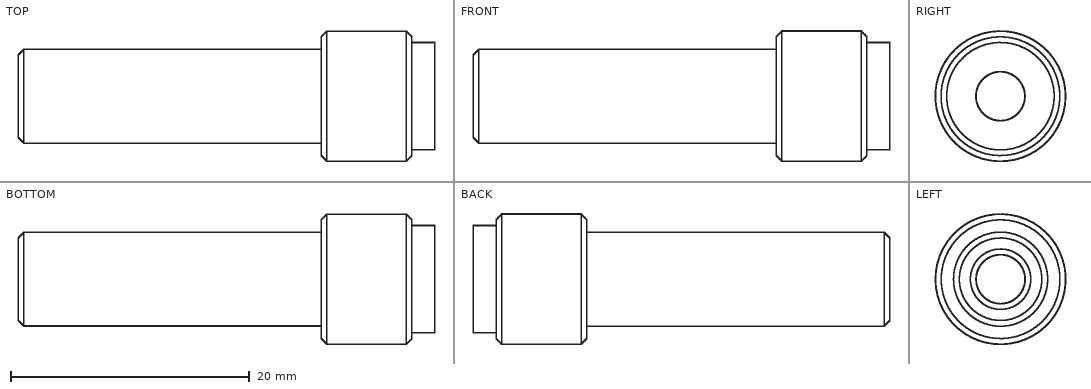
import cadquery as cq

total_length = 34.92
head_start = 25.4
head_end = 33.0

shank_diameter = 7.9
head_diameter = 10.93
spigot_diameter = 9.0
bore_diameter = 4.1

chamfer = 0.5


def cylinder(diameter, start, end):
    """Solid cylinder on the X axis between two stations."""
    return cq.Workplane("YZ").workplane(offset=start).circle(diameter / 2).extrude(end - start)


head = cylinder(head_diameter, head_start, head_end).faces("<X or >X").chamfer(chamfer)

shank = cylinder(shank_diameter, 0, head_start)
spigot = cylinder(spigot_diameter, head_end, total_length)
body = shank.union(head).union(spigot)

bored = body.cut(cylinder(bore_diameter, 0, total_length))

result = bored.faces("<X").chamfer(chamfer)